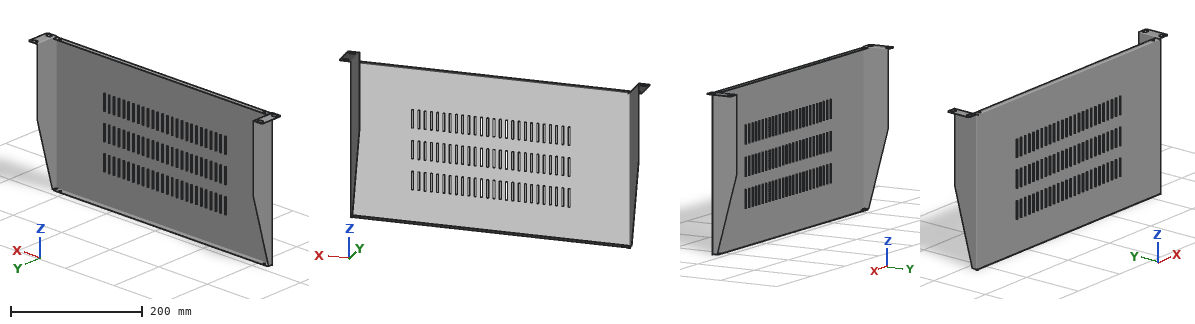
import cadquery as cq
import math

overall_width = 482.5
overall_depth = 44.0
overall_height = 251.5

sheet = 1.2
bend_outer = 1.5
bend_inner = bend_outer - sheet

panel_width = 447.0
panel_height = overall_height - sheet
lip_depth = 9.5
lip_end_gap = 2.0
lip_length = panel_width - 2 * (sheet + lip_end_gap)

lip_hole_spacing = 421.0
lip_hole_diameter = 4.5
lip_hole_y = 6.0

wall_top_z = overall_height - bend_outer
wall_bottom_z = 1.5
taper_start_z = 127.5

ear_front_y = 1.0
ear_corner_radius = 3.5
ear_hole_length = 10.5
ear_hole_width = 7.0
ear_hole_spacing_x = 465.0
ear_hole_spacing_y = 32.0
ear_hole_center_y = 22.5

slot_count = 26
slot_pitch = 10.0
slot_row_count = 3
slot_row_pitch = 49.5
slot_width = 3.0
slot_length = 30.0
slot_center_x = -1.0
slot_center_z = 120.0


def box(x_min, x_max, y_min, y_max, z_min, z_max):
    """Block spanning the given limits."""
    size = (x_max - x_min, y_max - y_min, z_max - z_min)
    return cq.Workplane("XY", origin=(x_min, y_min, z_min)).box(*size, centered=False)


def bent_channel(outer, inner, bend_edges):
    """Channel left when inner is removed from outer, both rounded along the front bends."""
    rounded_outer = outer.edges(bend_edges).fillet(bend_outer)
    rounded_inner = inner.edges(bend_edges).fillet(bend_inner)
    return rounded_outer.cut(rounded_inner)


def make_walls():
    """Flat panel with both side walls, without the strips where the lips bend."""
    half = panel_width / 2
    outer = box(-half, half, 0, overall_depth, 0, wall_top_z)
    inner = box(-half + sheet, half - sheet, sheet, overall_depth, 0, wall_top_z)
    walls = bent_channel(outer, inner, "|Z and <Y")

    below_walls = (
        cq.Workplane("YZ")
        .moveTo(overall_depth, taper_start_z)
        .lineTo(lip_depth, wall_bottom_z)
        .lineTo(bend_outer, wall_bottom_z)
        .lineTo(bend_outer, 0)
        .lineTo(overall_depth, 0)
        .close()
        .extrude(half, both=True)
    )
    walls = walls.cut(below_walls)

    lip_half = lip_length / 2
    bottom_strip = box(-lip_half, lip_half, 0, sheet, 0, bend_outer)
    top_strip = box(-lip_half, lip_half, 0, sheet, panel_height - bend_outer, panel_height)
    return walls.cut(bottom_strip).cut(top_strip)


def make_lips():
    """Panel with its top and bottom lips, each lip with a hole near both ends."""
    half = lip_length / 2
    outer = box(-half, half, 0, lip_depth, 0, panel_height)
    inner = box(-half, half, sheet, lip_depth, sheet, panel_height - sheet)
    lips = bent_channel(outer, inner, "|X and <Y")
    holes = (
        cq.Workplane("XY")
        .pushPoints([(side * lip_hole_spacing / 2, lip_hole_y) for side in (-1, 1)])
        .circle(lip_hole_diameter / 2)
        .extrude(panel_height)
    )
    return lips.cut(holes)


def make_right_ear():
    """Ear bent outward from the top of the +X side wall, with two slotted holes."""
    wall_outer_x = panel_width / 2
    bend_center_x = wall_outer_x + bend_inner
    diagonal = math.sqrt(0.5)

    def bend_middle(radius):
        return (bend_center_x - radius * diagonal, wall_top_z + radius * diagonal)

    ear = (
        cq.Workplane("XZ", origin=(0, ear_front_y, 0))
        .moveTo(wall_outer_x - sheet, wall_top_z)
        .threePointArc(bend_middle(bend_outer), (bend_center_x, overall_height))
        .lineTo(overall_width / 2, overall_height)
        .lineTo(overall_width / 2, overall_height - sheet)
        .lineTo(bend_center_x, overall_height - sheet)
        .threePointArc(bend_middle(bend_inner), (wall_outer_x, wall_top_z))
        .close()
        .extrude(ear_front_y - overall_depth)
        .edges("|Z and >X")
        .fillet(ear_corner_radius)
    )
    holes = (
        cq.Workplane("XY", origin=(ear_hole_spacing_x / 2, ear_hole_center_y, overall_height))
        .rarray(5, ear_hole_spacing_y, 1, 2)
        .slot2D(ear_hole_length, ear_hole_width)
        .extrude(-sheet)
    )
    return ear.cut(holes)


def make_vent_slots():
    """Cutters for the rows of vertical ventilation slots through the panel."""
    return (
        cq.Workplane("XZ", origin=(slot_center_x, 0, slot_center_z))
        .rarray(slot_pitch, slot_row_pitch, slot_count, slot_row_count)
        .slot2D(slot_length, slot_width, 90)
        .extrude(-sheet)
    )


right_ear = make_right_ear()
left_ear = right_ear.mirror("YZ")
shelf = make_walls().union(make_lips()).union(right_ear).union(left_ear)
result = shelf.cut(make_vent_slots()).solids()